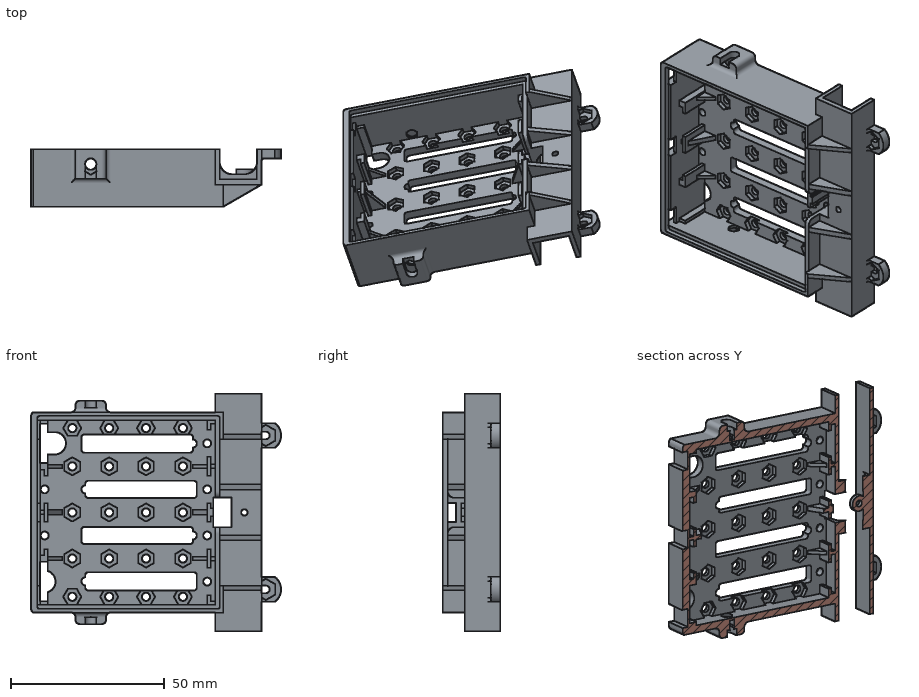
import cadquery as cq
import math


TRAY_LENGTH = 62.6
TRAY_HEIGHT = 65.2
TRAY_DEPTH = 18.8
CAVITY_LEFT = 3.0
CAVITY_RIGHT = 60.0
CAVITY_HALF_HEIGHT = 30.0
FLOOR_THICKNESS = 3.0
TRAY_TOP = TRAY_HEIGHT / 2
END_ROUND_LENGTH = 0.75
END_ROUND_HEIGHT = 1.5

LID_STEP_DEPTH = 1.7
LID_LEFT = 2.1
LID_RIGHT = 61.5
LID_HALF_HEIGHT = 31.4
LID_CORNER_RADIUS = 0.75
LEDGE_DEPTH = TRAY_DEPTH - LID_STEP_DEPTH

CHANNEL_LEFT = CAVITY_RIGHT
CHANNEL_RIGHT = 75.1
CHANNEL_LENGTH = 77.4
CHANNEL_DEPTH = 11.6
CHANNEL_WALL = 1.5
CHANNEL_INNER_DEPTH = 9.8
SADDLE_DEPTH = 8.15
SADDLE_RADIUS = 4.0
BOSS_X = 69.5
BOSS_RADIUS = 2.7
BOSS_DEPTH = 6.5
BOSS_HOLE_DIAMETER = 2.0

OUTER_GUSSET_Z = 23.9
OUTER_GUSSET_THICKNESS = 1.5
INNER_GUSSET_Z = 7.35
INNER_GUSSET_THICKNESS = 1.75

CABLE_LEFT = 59.4
CABLE_RIGHT = 65.25
CABLE_HALF_HEIGHT = 4.8
CABLE_MOUTH_RADIUS = 2.0

GROOVE_WIDTH = 6.1
GROOVE_Z = 26.95
GROOVE_DEPTH = LID_LEFT
GROOVE_END = 17.1
WINDOW_START = 14.5

NUT_X = [13.5 + 12.0 * column for column in range(4)]
INNER_NUT_Z = [-15.0, 0.0, 15.0]
NUT_HOLE_DIAMETER = 2.6
NUT_ACROSS_FLATS = 5.1
NUT_POCKET_DEPTH = 1.6
OUTER_NUT_Z = CAVITY_HALF_HEIGHT - NUT_ACROSS_FLATS / 2
SLOT_LEFT = 16.5
SLOT_RIGHT = 54.0
SLOT_NECK = 1.25
SLOT_CORNER_RADIUS = 0.9
SLOT_TIP_WIDTH = 2.6
OUTER_SLOT_EDGES = (19.5, 25.35)
INNER_SLOT_EDGES = (4.75, 10.25)
PIN_HOLE_DIAMETER = 2.5
PIN_LEFT_X = 4.5
PIN_RIGHT_X = 57.4
PIN_INNER_Z = 7.5
PIN_OUTER_Z = 22.5
TERMINAL_RIGHT = 5.5
TERMINAL_EDGES = (16.1, 28.85)
TERMINAL_RADIUS = 3.6
UPPER_TERMINAL_X = 7.8
LOWER_TERMINAL_X = 4.4

HOLDER_PITCH = 15.0
HOLDER_DEPTH = 12.8
SPINE_DEPTH = 12.0
HOLDER_HALF_WIDTH = 3.05
PLATE_THICKNESS = 1.2
SPINE_HALF_THICKNESS = 0.65
MIDDLE_SPINE_HALF_THICKNESS = 1.3
LEFT_PLATE_RIGHT = TERMINAL_RIGHT
RIGHT_PLATE_LEFT = 57.4
BRACE_LENGTH = 4.7
OUTER_BRACE_HEIGHT = 4.0
MIDDLE_BRACE_HEIGHT = 8.4
OUTER_BRACE_THICKNESS = 1.2
MIDDLE_BRACE_THICKNESS = 1.6

TAB_X = 19.5
TAB_WIDTH = 10.0
TAB_DEPTH = 9.6
TAB_TOP = 36.4
TAB_ROUND = 1.5
TAB_SLOT_FLOOR = 34.1
SCREW_DEPTH = 4.9
SCREW_DIAMETER = 3.6
TAB_NUT_ACROSS_FLATS = 6.0
TAB_NUT_POCKET = 3.2

LUG_X = 76.48
LUG_Z = 25.05
LUG_RADIUS = 5.0
LUG_HEIGHT = 8.1
LUG_DEPTH = 3.1
LUG_SLOT_WIDTH = 2.4
LUG_NUT_ACROSS_FLATS = 6.0
LUG_NUT_POCKET = 1.5
LUG_BLEND = 0.8


def block(x_range, depth_range, z_range):
    """Box between two X values, two depths and two Z values."""
    (x0, x1), (d0, d1), (z0, z1) = x_range, depth_range, z_range
    return cq.Workplane("XY").box(x1 - x0, d1 - d0, z1 - z0, centered=False).translate((x0, -d1, z0))


def face_plane(depth=0.0):
    """Sketch plane with local X along +X and local Y along +Z; extrusion runs toward -Y."""
    return cq.Workplane("XZ", origin=(0, -depth, 0))


def wedge(corners, z_start, thickness):
    """Prism along Z from (x, depth) corners."""
    points = [(x, -depth) for x, depth in corners]
    return cq.Workplane("XY", origin=(0, 0, z_start)).polyline(points).close().extrude(thickness)


def hexagon(x, z, across_flats, depth_range, point_up):
    """Hexagonal prism along the depth, with a corner toward +Z or, if not point_up, a flat."""
    start, end = depth_range
    diameter = across_flats / math.cos(math.pi / 6)
    prism = face_plane(start).polygon(6, diameter).extrude(end - start)
    if point_up:
        prism = prism.rotate((0, 0, 0), (0, 1, 0), 30)
    return prism.translate((x, 0, z))


def hole(x, z, diameter, depth):
    return face_plane().center(x, z).circle(diameter / 2).extrude(depth)


def mirrored(body):
    """The body together with its mirror image about Z = 0."""
    return body.union(body.mirror("XY"))


def tray_shell():
    round_start = TRAY_TOP - END_ROUND_HEIGHT
    radius = (END_ROUND_LENGTH**2 + END_ROUND_HEIGHT**2) / (2 * END_ROUND_LENGTH)
    shell = (
        face_plane()
        .moveTo(TRAY_LENGTH, -TRAY_TOP)
        .lineTo(TRAY_LENGTH, TRAY_TOP)
        .lineTo(END_ROUND_LENGTH, TRAY_TOP)
        .radiusArc((0, round_start), -radius)
        .lineTo(0, -round_start)
        .radiusArc((END_ROUND_LENGTH, -TRAY_TOP), -radius)
        .close()
        .extrude(TRAY_DEPTH)
    )
    cavity = block(
        (CAVITY_LEFT, CAVITY_RIGHT),
        (FLOOR_THICKNESS, TRAY_DEPTH),
        (-CAVITY_HALF_HEIGHT, CAVITY_HALF_HEIGHT),
    )
    lid_step = block(
        (LID_LEFT, LID_RIGHT), (LEDGE_DEPTH, TRAY_DEPTH), (-LID_HALF_HEIGHT, LID_HALF_HEIGHT)
    )
    lid_step = lid_step.edges("|Y").fillet(LID_CORNER_RADIUS)
    corner_post_gap = block(
        (LID_RIGHT, TRAY_LENGTH), (0, TRAY_DEPTH), (-OUTER_GUSSET_Z, OUTER_GUSSET_Z)
    )
    lid_gap = block(
        (CAVITY_RIGHT, TRAY_LENGTH), (LEDGE_DEPTH, TRAY_DEPTH), (-OUTER_GUSSET_Z, OUTER_GUSSET_Z)
    )
    channel_clearance = block(
        (LID_RIGHT, TRAY_LENGTH), (0, CHANNEL_INNER_DEPTH), (-TRAY_TOP, TRAY_TOP)
    )
    return shell.cut(cavity).cut(lid_step).cut(corner_post_gap).cut(lid_gap).cut(channel_clearance)


def channel():
    half_length = CHANNEL_LENGTH / 2
    inside = (CHANNEL_LEFT + CHANNEL_WALL, CHANNEL_RIGHT - CHANNEL_WALL)
    body = block((CHANNEL_LEFT, CHANNEL_RIGHT), (0, CHANNEL_DEPTH), (-half_length, half_length))
    body = body.cut(block(inside, (0, CHANNEL_INNER_DEPTH), (-half_length, half_length)))

    saddle_half = INNER_GUSSET_Z + INNER_GUSSET_THICKNESS
    saddle = block(inside, (0, CHANNEL_INNER_DEPTH), (-saddle_half, saddle_half))
    hollow = block(inside, (-SADDLE_RADIUS, SADDLE_DEPTH), (-saddle_half, saddle_half))
    saddle = saddle.cut(hollow.edges("|Z and <Y").fillet(SADDLE_RADIUS))
    boss = face_plane(BOSS_DEPTH).center(BOSS_X, 0).circle(BOSS_RADIUS)
    boss = boss.extrude(CHANNEL_INNER_DEPTH - BOSS_DEPTH)
    return body.union(saddle).union(boss)


def gussets():
    channel_corner = (CHANNEL_RIGHT, CHANNEL_DEPTH)
    channel_root = (LID_RIGHT, CHANNEL_DEPTH)
    post = [channel_root, channel_corner, (TRAY_LENGTH, TRAY_DEPTH), (LID_RIGHT, TRAY_DEPTH)]
    triangle = [channel_root, channel_corner, (LID_RIGHT, LEDGE_DEPTH)]
    outer = wedge(post, OUTER_GUSSET_Z, OUTER_GUSSET_THICKNESS)
    inner = wedge(triangle, INNER_GUSSET_Z, INNER_GUSSET_THICKNESS)
    return mirrored(outer.union(inner))


def cable_opening():
    half = CABLE_HALF_HEIGHT
    opening = block((CABLE_LEFT, CABLE_RIGHT), (0, TRAY_DEPTH), (-half, half))
    flare_start = LEDGE_DEPTH - CABLE_MOUTH_RADIUS
    flare = block((CAVITY_RIGHT, LID_RIGHT), (flare_start, LEDGE_DEPTH), (half, half + CABLE_MOUTH_RADIUS))
    cylinder = (
        cq.Workplane("YZ", origin=(CAVITY_RIGHT, -flare_start, half + CABLE_MOUTH_RADIUS))
        .circle(CABLE_MOUTH_RADIUS)
        .extrude(LID_RIGHT - CAVITY_RIGHT)
    )
    return opening.union(mirrored(flare.cut(cylinder)))


def end_grooves():
    half = GROOVE_WIDTH / 2
    groove = block((0, GROOVE_DEPTH), (0, GROOVE_END), (-half, half))
    groove = groove.union(block((0, CAVITY_LEFT), (WINDOW_START, GROOVE_END), (-half, half)))
    grooves = groove
    for z in (-GROOVE_Z, GROOVE_Z):
        grooves = grooves.union(groove.translate((0, 0, z)))
    return grooves


def nut_seats():
    pocket = (FLOOR_THICKNESS - NUT_POCKET_DEPTH, FLOOR_THICKNESS)
    seats = cq.Workplane("XY")
    for x in NUT_X:
        for z in (-OUTER_NUT_Z, *INNER_NUT_Z, OUTER_NUT_Z):
            seats = seats.add(hole(x, z, NUT_HOLE_DIAMETER, FLOOR_THICKNESS))
            seats = seats.add(hexagon(x, z, NUT_ACROSS_FLATS, pocket, abs(z) < OUTER_NUT_Z))
    return seats.combine()


def ventilation_slot(bottom, top, tip_on_right):
    """Long slot whose one end narrows to a rounded tip."""
    left, right = SLOT_LEFT, SLOT_RIGHT
    if tip_on_right:
        right -= SLOT_NECK
        tip_x = SLOT_RIGHT - SLOT_TIP_WIDTH / 2
    else:
        left += SLOT_NECK
        tip_x = SLOT_LEFT + SLOT_TIP_WIDTH / 2
    slot = block((left, right), (0, FLOOR_THICKNESS), (bottom, top))
    slot = slot.edges("|Y").fillet(SLOT_CORNER_RADIUS)
    return slot.union(hole(tip_x, (bottom + top) / 2, SLOT_TIP_WIDTH, FLOOR_THICKNESS))


def floor_slots():
    outer_low, outer_high = OUTER_SLOT_EDGES
    inner_low, inner_high = INNER_SLOT_EDGES
    slots = ventilation_slot(outer_low, outer_high, True)
    slots = slots.union(ventilation_slot(inner_low, inner_high, False))
    slots = slots.union(ventilation_slot(-inner_high, -inner_low, True))
    return slots.union(ventilation_slot(-outer_high, -outer_low, False))


def pin_holes():
    places = [(PIN_LEFT_X, PIN_INNER_Z), (PIN_RIGHT_X, PIN_INNER_Z), (PIN_RIGHT_X, PIN_OUTER_Z)]
    holes = cq.Workplane("XY")
    for x, z in places:
        holes = holes.add(mirrored(hole(x, z, PIN_HOLE_DIAMETER, FLOOR_THICKNESS)))
    return holes.combine()


def terminal_openings():
    floor = (0, FLOOR_THICKNESS)
    openings = mirrored(block((CAVITY_LEFT, TERMINAL_RIGHT), floor, TERMINAL_EDGES))
    for x, z in ((UPPER_TERMINAL_X, PIN_OUTER_Z), (LOWER_TERMINAL_X, -PIN_OUTER_Z)):
        openings = openings.union(hole(x, z, 2 * TERMINAL_RADIUS, FLOOR_THICKNESS))
        if x > TERMINAL_RIGHT:
            sides = (z - TERMINAL_RADIUS, z + TERMINAL_RADIUS)
            openings = openings.union(block((CAVITY_LEFT, x), floor, sides))
    beyond_wall = block((-CAVITY_LEFT, CAVITY_LEFT), floor, (-TRAY_TOP, TRAY_TOP))
    return openings.cut(beyond_wall)


def contact_holders():
    span = (FLOOR_THICKNESS, HOLDER_DEPTH)
    half = HOLDER_HALF_WIDTH
    left_plate = (LEFT_PLATE_RIGHT - PLATE_THICKNESS, LEFT_PLATE_RIGHT)
    right_plate = (RIGHT_PLATE_LEFT, RIGHT_PLATE_LEFT + PLATE_THICKNESS)
    left_spine = (CAVITY_LEFT, LEFT_PLATE_RIGHT)
    right_spine = (RIGHT_PLATE_LEFT, CAVITY_RIGHT)
    spine = (-SPINE_HALF_THICKNESS, SPINE_HALF_THICKNESS)
    terminal_low, terminal_high = TERMINAL_EDGES

    spine_span = (FLOOR_THICKNESS, SPINE_DEPTH)
    middle_spine = (-MIDDLE_SPINE_HALF_THICKNESS, MIDDLE_SPINE_HALF_THICKNESS)
    right_tee = block(right_plate, span, (-half, half)).union(block(right_spine, spine_span, spine))
    right_middle_spine = block(right_spine, span, middle_spine)
    middle_tee = block(left_plate, span, (-half, half)).union(block(left_spine, spine_span, spine))
    left_hook = block(left_plate, span, (HOLDER_PITCH - half, terminal_low))
    thick_spine = (2 * HOLDER_PITCH - terminal_low, terminal_low)
    left_hook = left_hook.union(block(left_spine, span, thick_spine))
    left_rail = block(left_spine, span, (terminal_high, CAVITY_HALF_HEIGHT))
    right_corner = block(right_plate, span, (CAVITY_HALF_HEIGHT - half, CAVITY_HALF_HEIGHT))
    right_corner = right_corner.union(block(right_spine, span, (terminal_high, CAVITY_HALF_HEIGHT)))

    holders = right_tee.union(right_middle_spine).union(middle_tee)
    for body in (right_tee.translate((0, 0, HOLDER_PITCH)), left_hook, left_rail, right_corner):
        holders = holders.union(mirrored(body))
    for row in (-1, 0, 1):
        holders = holders.union(braces(row))
    return holders


def braces(row):
    """Triangular braces that hold the two contact plates of one row."""
    height = OUTER_BRACE_HEIGHT if row else MIDDLE_BRACE_HEIGHT
    thickness = OUTER_BRACE_THICKNESS if row else MIDDLE_BRACE_THICKNESS
    z_start = row * HOLDER_PITCH - thickness / 2
    pair = cq.Workplane("XY")
    for plate, direction in ((LEFT_PLATE_RIGHT, 1), (RIGHT_PLATE_LEFT, -1)):
        corners = [
            (plate, FLOOR_THICKNESS),
            (plate + direction * BRACE_LENGTH, FLOOR_THICKNESS),
            (plate, FLOOR_THICKNESS + height),
        ]
        pair = pair.add(wedge(corners, z_start, thickness))
    return pair.combine()


def tab_body():
    """Tab on the top side, flaring into the tray with a concave round."""
    left, right = TAB_X - TAB_WIDTH / 2, TAB_X + TAB_WIDTH / 2
    body = block((left, right), (0, TAB_DEPTH), (TRAY_TOP, TAB_TOP))
    body = body.edges("|Y and >Z").fillet(TAB_ROUND)
    skirt_depth = TAB_DEPTH + TAB_ROUND
    skirt = block(
        (left - TAB_ROUND, right + TAB_ROUND), (0, skirt_depth), (TRAY_TOP, TRAY_TOP + TAB_ROUND)
    )
    axis_z = TRAY_TOP + TAB_ROUND
    for x in (left - TAB_ROUND, right + TAB_ROUND):
        side = face_plane().center(x, axis_z).circle(TAB_ROUND).extrude(skirt_depth)
        skirt = skirt.cut(side)
    front = cq.Workplane("YZ", origin=(left - TAB_ROUND, -skirt_depth, axis_z)).circle(TAB_ROUND)
    skirt = skirt.cut(front.extrude(TAB_WIDTH + 2 * TAB_ROUND))
    return body.union(skirt)


def tab_openings():
    """Screw hole, slot open toward the front and nut pocket entered from the back."""
    radius = SCREW_DIAMETER / 2
    screw = cq.Workplane("XY", origin=(TAB_X, -SCREW_DEPTH, CAVITY_HALF_HEIGHT)).circle(radius)
    screw = screw.extrude(TAB_TOP - CAVITY_HALF_HEIGHT)
    slot = block(
        (TAB_X - radius, TAB_X + radius), (SCREW_DEPTH, TAB_DEPTH + TAB_ROUND), (TAB_SLOT_FLOOR, TAB_TOP)
    )
    nut = cq.Workplane("XY", origin=(TAB_X, -SCREW_DEPTH, TAB_SLOT_FLOOR - TAB_NUT_POCKET))
    nut = nut.polygon(6, TAB_NUT_ACROSS_FLATS / math.cos(math.pi / 6)).extrude(TAB_NUT_POCKET)
    nut = nut.rotate((TAB_X, -SCREW_DEPTH, 0), (TAB_X, -SCREW_DEPTH, 1), 30)
    half_nut = TAB_NUT_ACROSS_FLATS / 2
    nut_entry = block(
        (TAB_X - half_nut, TAB_X + half_nut),
        (0, SCREW_DEPTH),
        (TAB_SLOT_FLOOR - TAB_NUT_POCKET, TAB_SLOT_FLOOR),
    )
    return screw.union(slot).union(nut).union(nut_entry)


def lug():
    half = LUG_HEIGHT / 2
    inner = CHANNEL_RIGHT - CHANNEL_WALL
    body = face_plane().center(LUG_X, LUG_Z).circle(LUG_RADIUS).extrude(LUG_DEPTH)
    limits = block((inner, LUG_X + LUG_RADIUS), (0, LUG_DEPTH), (LUG_Z - half, LUG_Z + half))
    body = body.intersect(limits)
    blend_end = LUG_DEPTH + LUG_BLEND
    blend = block(
        (CHANNEL_RIGHT, CHANNEL_RIGHT + LUG_BLEND), (LUG_DEPTH, blend_end), (LUG_Z - half, LUG_Z + half)
    )
    hollow = cq.Workplane("XY", origin=(CHANNEL_RIGHT + LUG_BLEND, -blend_end, LUG_Z - half))
    blend = blend.cut(hollow.circle(LUG_BLEND).extrude(LUG_HEIGHT))
    return body.union(blend)


def lug_openings():
    half = LUG_SLOT_WIDTH / 2
    slot = hole(LUG_X, LUG_Z, LUG_SLOT_WIDTH, LUG_DEPTH)
    slot = slot.union(block((CHANNEL_RIGHT, LUG_X), (0, LUG_DEPTH), (LUG_Z - half, LUG_Z + half)))
    pocket = (LUG_DEPTH - LUG_NUT_POCKET, LUG_DEPTH + LUG_BLEND)
    nut = hexagon(LUG_X, LUG_Z, LUG_NUT_ACROSS_FLATS, pocket, True)
    channel_wall = block((CHANNEL_LEFT, CHANNEL_RIGHT), (0, CHANNEL_DEPTH), (0, CHANNEL_LENGTH / 2))
    return slot.union(nut.cut(channel_wall))


result = tray_shell().union(channel()).union(gussets())
result = result.cut(end_grooves())
result = result.cut(nut_seats()).cut(floor_slots()).cut(pin_holes()).cut(terminal_openings())
result = result.union(contact_holders())
result = result.cut(cable_opening())
result = result.cut(hole(BOSS_X, 0, BOSS_HOLE_DIAMETER, CHANNEL_DEPTH))
result = result.union(mirrored(tab_body())).cut(mirrored(tab_openings()))
result = result.union(mirrored(lug())).cut(mirrored(lug_openings()))